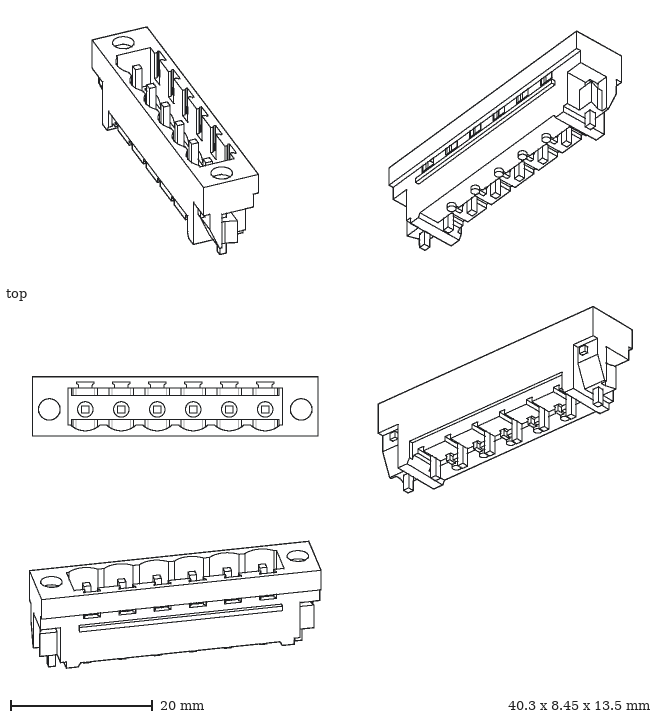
import cadquery as cq


pitch = 5.08
contact_count = 6
pin_size = 1.0
pin_bottom = -1.45
contact_top = 11.05
end_pin_x = pitch * (contact_count + 1) / 2
end_pin_leg_z = 6.1
end_pin_leg_tip_y = -3.42

length = 40.3
front_y = -3.8
rim_back_y = 4.65
body_back_y = 3.85
height = 12.05
rim_bottom = 8.85

cavity_length = 30.3
cavity_front_y = -2.18
cavity_back_y = 3.02
cavity_floor = 5.65
scallop_radius = 3.02
contact_recess_diameter = 2.18
contact_recess_depth = 0.4

channel_length = 29.25
channel_floor = 2.4
bar_front_y = -1.45
bar_back_y = 1.97
hump_radius = 1.3
hump_base_width = 3.42
hump_flank_height = 1.6

slot_bottom = 7.77
slot_neck_width = 1.85
slot_wide_width = 2.4
slot_neck_end_y = 3.4
slot_flare_end_y = 3.65
ledge_bottom = 6.05
ledge_top = 6.75
ledge_back_y = 4.47

screw_hole_diameter = 3.02
screw_hole_depth = 1.33
chamber_depth = 2.35
chamber_width = 4.85

end_block_length = 3.7
end_block_bottom = 1.0
end_block_top = 7.2
end_block_front_y = -2.8
slope_top = 4.6
slope_foot_y = -1.33
pocket_top = 6.7
pocket_front_y = -0.95
socket_top = 4.7
socket_back_y = 1.57
socket_crease_y = -0.12
socket_back_inset = 0.35
socket_front_inset = 0.93

underside_z = 0.65
leg_foot_x = 14.7
leg_slope_x = 13.95
recess_length = 28.5
recess_top = 3.55
recess_depth = 0.6
panel_bottom = 1.4
notch_top = 2.15
foot_diameter = 1.25
foot_y = 1.6
rib_width = 0.6
rib_bottom = 0.35
rib_front_y = -0.2
rib_flare = 0.2

half_length = length / 2
half_pin = pin_size / 2
contact_xs = [(i - (contact_count - 1) / 2) * pitch for i in range(contact_count)]
foot_xs = [(i - (contact_count - 2) / 2) * pitch for i in range(contact_count - 1)]


def box(x_range, y_range, z_range):
    """Box between the given limits along each axis."""
    (x0, x1), (y0, y1), (z0, z1) = x_range, y_range, z_range
    return cq.Workplane("XY").box(x1 - x0, y1 - y0, z1 - z0, centered=False).translate((x0, y0, z0))


def centred(middle, width):
    """Limits of a span of the given width around its middle."""
    return (middle - width / 2, middle + width / 2)


def both_ends(left):
    """The shape at the left end together with its mirror image at the right end."""
    return left.union(left.mirror("YZ"))


def make_envelope():
    profile = [
        (front_y, 0),
        (body_back_y, 0),
        (body_back_y, rim_bottom),
        (rim_back_y, rim_bottom),
        (rim_back_y, height),
        (front_y, height),
    ]
    envelope = cq.Workplane("YZ").polyline(profile).close().extrude(half_length, both=True)
    ledge = box(centred(0, channel_length), (body_back_y, ledge_back_y), (ledge_bottom, ledge_top))
    return envelope.union(ledge)


def scalloped_well(x_length, floor):
    """Well open at the top, with a scalloped front wall."""
    depth = height - floor
    well = box(centred(0, x_length), (cavity_front_y, cavity_back_y), (floor, height))
    reach = box(centred(0, x_length), (front_y, 0), (floor, height))
    for x in contact_xs:
        scallop = cq.Workplane("XY", origin=(x, 0, floor)).circle(scallop_radius).extrude(depth)
        well = well.union(scallop.intersect(reach))
    return well


def make_humps():
    """Round-topped humps that cross the channels, one under each contact position."""
    shoulder = channel_floor + hump_flank_height
    humps = cq.Workplane("XY")
    for x in contact_xs:
        hump = (
            cq.Workplane("XZ", origin=(x, cavity_back_y, 0))
            .moveTo(-hump_base_width / 2, channel_floor)
            .lineTo(-hump_radius, shoulder)
            .threePointArc((0, shoulder + hump_radius), (hump_radius, shoulder))
            .lineTo(hump_base_width / 2, channel_floor)
            .close()
            .extrude(cavity_back_y + scallop_radius)
        )
        humps = humps.add(hump)
    return humps.combine()


def make_cavity():
    upper = scalloped_well(cavity_length, cavity_floor)
    bar = box(centred(0, cavity_length), (bar_front_y, bar_back_y), (channel_floor, cavity_floor))
    channels = scalloped_well(channel_length, channel_floor).cut(bar).cut(make_humps())
    recesses = (
        cq.Workplane("XY", origin=(0, 0, cavity_floor - contact_recess_depth))
        .pushPoints([(x, 0) for x in contact_xs])
        .circle(contact_recess_diameter / 2)
        .extrude(contact_recess_depth)
    )
    return upper.union(channels).union(recesses)


def make_slot(x):
    neck = slot_neck_width / 2
    wide = slot_wide_width / 2
    outline = [
        (-neck, cavity_back_y),
        (-neck, slot_neck_end_y),
        (-wide, slot_flare_end_y),
        (-wide, body_back_y),
        (wide, body_back_y),
        (wide, slot_flare_end_y),
        (neck, slot_neck_end_y),
        (neck, cavity_back_y),
    ]
    plane = cq.Workplane("XY", origin=(x, 0, slot_bottom))
    return plane.polyline(outline).close().extrude(height - slot_bottom)


def make_screw_hole():
    """Left screw hole and the wider chamber at its bottom."""
    hole_bottom = height - screw_hole_depth
    hole = (
        cq.Workplane("XY", origin=(-end_pin_x, 0, hole_bottom))
        .circle(screw_hole_diameter / 2)
        .extrude(screw_hole_depth)
    )
    chamber = box(
        centred(-end_pin_x, screw_hole_diameter),
        centred(0, chamber_width),
        (height - chamber_depth, hole_bottom),
    )
    return hole.union(chamber)


def make_end_undercut():
    """Space in front of and below the left end block."""
    profile = [
        (front_y, end_block_top),
        (end_block_front_y, end_block_top),
        (end_block_front_y, slope_top),
        (slope_foot_y, end_block_bottom),
        (body_back_y, end_block_bottom),
        (body_back_y, 0),
        (front_y, 0),
    ]
    plane = cq.Workplane("YZ", origin=(-half_length, 0, 0))
    return plane.polyline(profile).close().extrude(end_block_length)


def make_end_pocket():
    """Pocket in the left end face, less the socket that stands in it."""
    pocket_wall_x = half_pin - end_pin_x
    pocket = box(
        (-half_length, pocket_wall_x),
        (pocket_front_y, body_back_y),
        (end_block_bottom, pocket_top),
    )
    socket_outline = [
        (pocket_wall_x, pocket_front_y),
        (pocket_wall_x, socket_back_y),
        (-half_length + socket_back_inset, socket_back_y),
        (-half_length + socket_front_inset, socket_crease_y),
        (-half_length + socket_front_inset, pocket_front_y),
    ]
    plane = cq.Workplane("XY", origin=(0, 0, end_block_bottom))
    socket = plane.polyline(socket_outline).close().extrude(socket_top - end_block_bottom)
    return pocket.cut(socket)


def make_leg_gap(top, back_y):
    """Space between the sloped end legs, from the front face to back_y and up to the given height."""
    leg_slope = (leg_foot_x - leg_slope_x) / panel_bottom
    top_x = leg_foot_x - leg_slope * top
    outline = [(-leg_foot_x, 0), (-top_x, top), (top_x, top), (leg_foot_x, 0)]
    plane = cq.Workplane("XZ", origin=(0, back_y, 0))
    return plane.polyline(outline).close().extrude(back_y - front_y)


def make_underside_cut():
    """Recessed front panel, raised underside between the end legs and a notch in front of each contact."""
    cut = box(centred(0, recess_length), (front_y, front_y + recess_depth), (0, recess_top))
    cut = cut.union(make_leg_gap(underside_z, body_back_y))
    cut = cut.union(make_leg_gap(panel_bottom, half_pin))
    for x in contact_xs:
        cut = cut.union(box(centred(x, pin_size), (front_y, half_pin), (underside_z, notch_top)))
    return cut


def make_standoff(x):
    """Round foot with a rib in front of it."""
    foot = cq.Workplane("XY", origin=(x, foot_y, 0)).circle(foot_diameter / 2).extrude(panel_bottom)
    half_rib = rib_width / 2
    rib_outline = [
        (-half_rib, rib_bottom),
        (half_rib, rib_bottom),
        (half_rib, panel_bottom - rib_flare),
        (half_rib + rib_flare, panel_bottom),
        (-half_rib - rib_flare, panel_bottom),
        (-half_rib, panel_bottom - rib_flare),
    ]
    plane = cq.Workplane("XZ", origin=(x, foot_y, 0))
    rib = plane.polyline(rib_outline).close().extrude(foot_y - rib_front_y)
    return foot.union(rib)


def make_contact(x):
    return box(centred(x, pin_size), centred(0, pin_size), (pin_bottom, contact_top))


def make_end_pin(x):
    leg_z = centred(end_pin_leg_z, pin_size)
    post = box(centred(x, pin_size), centred(0, pin_size), (pin_bottom, leg_z[1]))
    leg = box(centred(x, pin_size), (end_pin_leg_tip_y, 0), leg_z)
    return post.union(leg)


def make_housing(pins):
    housing = make_envelope().cut(make_cavity())
    for x in contact_xs:
        housing = housing.cut(make_slot(x))
    housing = housing.cut(both_ends(make_screw_hole()))
    housing = housing.cut(both_ends(make_end_undercut()))
    housing = housing.cut(both_ends(make_end_pocket()))
    housing = housing.cut(make_underside_cut())
    for x in foot_xs:
        housing = housing.union(make_standoff(x))
    for pin in pins:
        housing = housing.cut(pin)
    return housing


contacts = [make_contact(x) for x in contact_xs]
end_pins = [make_end_pin(x) for x in (-end_pin_x, end_pin_x)]
housing = make_housing(contacts + end_pins)

result = cq.Compound.makeCompound(
    [housing.val(), *[contact.val() for contact in contacts], *[pin.val() for pin in end_pins]]
)